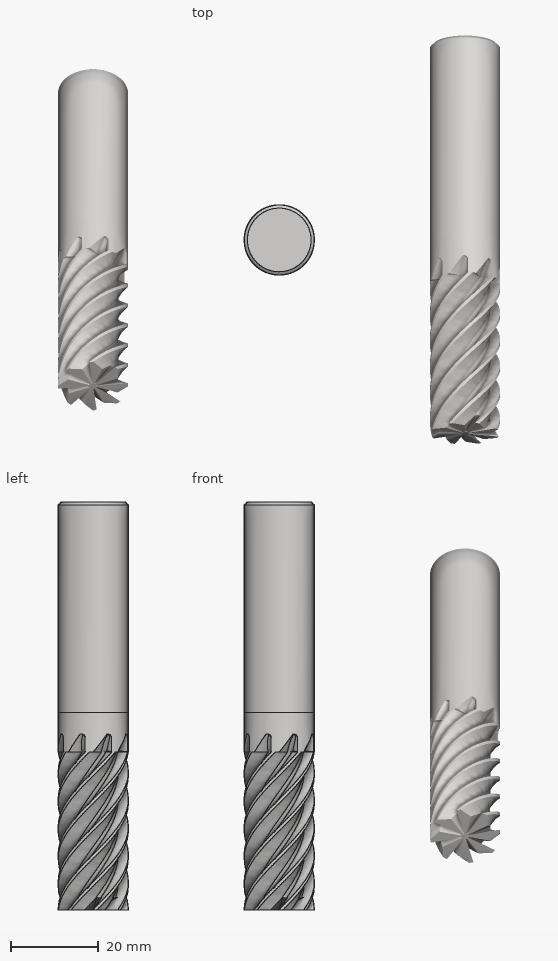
import cadquery as cq
import math

total_length = 93
diameter = 16.0
radius = diameter / 2
head_length = 45.0
shank_length = total_length - head_length
shank_chamfer = 0.7

tooth_count = 8
tooth_pitch = 360 / tooth_count
helix_angle = 45
lead = math.pi * diameter / math.tan(math.radians(helix_angle))
cut_length = 36.0
first_tooth_angle = -91.3
land_angle = 7
floor_start_angle = 32.4
floor_end_angle = 43.4
floor_radius = 5.8

runout_length = 4.1
runout_start_angle = 13.5
runout_turn = 23
runout_tip_radius = 0.9
runout_end_depth = 0.6

gash_depth = 2.9
gash_lean = 2.0
gash_flat = 1.1
gash_foot = 1.9
gash_inner_radius = 0.9
gash_outer_radius = radius + 0.1

clearance = 1.9
cut_turn = 360 * cut_length / lead
top_tooth_angle = first_tooth_angle + cut_turn


def polar(distance, angle):
    """Point at a distance from the tool axis and an angle in degrees."""
    turn = math.radians(angle)
    return (distance * math.cos(turn), distance * math.sin(turn))


def arc_to(outline, distance, start, end):
    """Add an arc about the tool axis from the start angle to the end angle."""
    return outline.threePointArc(polar(distance, (start + end) / 2), polar(distance, end))


def make_shank():
    """Plain cylindrical shank with a chamfered top edge."""
    shank = cq.Workplane("XY").workplane(offset=head_length).circle(radius).extrude(shank_length)
    return shank.faces(">Z").chamfer(shank_chamfer)


def make_fluted_length():
    """Toothed cross-section twisted along the cutting length."""
    outline = cq.Workplane("XY").moveTo(*polar(radius, first_tooth_angle))
    for tooth in range(tooth_count):
        lead_edge = first_tooth_angle + tooth * tooth_pitch
        floor_start = lead_edge + floor_start_angle
        floor_end = lead_edge + floor_end_angle
        outline = arc_to(outline, radius, lead_edge, lead_edge + land_angle)
        outline = outline.lineTo(*polar(floor_radius, floor_start))
        outline = arc_to(outline, floor_radius, floor_start, floor_end)
        if tooth < tooth_count - 1:
            outline = outline.lineTo(*polar(radius, lead_edge + tooth_pitch))
    return outline.close().twistExtrude(cut_length, cut_turn)


def make_runout():
    """Steepening end of a flute, stopped by an upright wall with a rounded top corner."""
    outer = radius + clearance
    flute = cq.Workplane("XY").moveTo(*polar(floor_radius, floor_start_angle))
    flute = arc_to(flute, floor_radius, floor_start_angle, floor_end_angle)
    flute = flute.lineTo(*polar(outer, tooth_pitch)).lineTo(*polar(outer, runout_start_angle))
    flute = flute.lineTo(*polar(radius, runout_start_angle))
    flute = flute.close().twistExtrude(runout_length, runout_turn)

    window = cq.Workplane("XY").box(outer, outer, runout_length, centered=(False, True, False))
    window = window.translate((0, -outer / 2, 0))
    window = window.edges(">Y and >Z").fillet(runout_tip_radius)
    window = window.rotate((0, 0, 0), (0, 0, 1), tooth_pitch)
    ramp = cq.Workplane(cq.Solid.makeCone(floor_radius, radius - runout_end_depth, runout_length))
    return flute.intersect(window).cut(ramp)


def gash_section(distance):
    """Gash outline at a distance from the axis, in proportion to that distance."""
    size = distance / floor_radius
    corners = [(0, 0), (gash_lean, gash_depth), (gash_lean - gash_flat, gash_depth), (-gash_foot, 0)]
    return cq.Wire.makePolygon([cq.Vector(distance, y * size, z * size) for y, z in corners], close=True)


def make_gash():
    """Notch in the end face, with a wall that leans along the flute in front of a tooth."""
    sections = [gash_section(gash_inner_radius), gash_section(gash_outer_radius)]
    return cq.Workplane(cq.Solid.makeLoft(sections, True))


def repeat_round(cutter, first_angle):
    """One copy of a cutter at each tooth, as a single compound."""
    angles = [first_angle + tooth * tooth_pitch for tooth in range(tooth_count)]
    copies = [cutter.rotate((0, 0, 0), (0, 0, 1), angle).val() for angle in angles]
    return cq.Workplane(cq.Compound.makeCompound(copies))


def make_cutting_head():
    """Fluted length with end gashes, joined to a neck with flute run-outs."""
    teeth = make_fluted_length().cut(repeat_round(make_gash(), first_tooth_angle))
    neck = cq.Workplane("XY").workplane(offset=cut_length).circle(radius).extrude(head_length - cut_length)
    runout = make_runout().translate((0, 0, cut_length))
    neck = neck.cut(repeat_round(runout, top_tooth_angle))
    return teeth.union(neck)


shank = make_shank()
cutting_head = make_cutting_head()
result = cq.Compound.makeCompound([shank.val(), *cutting_head.solids().vals()])